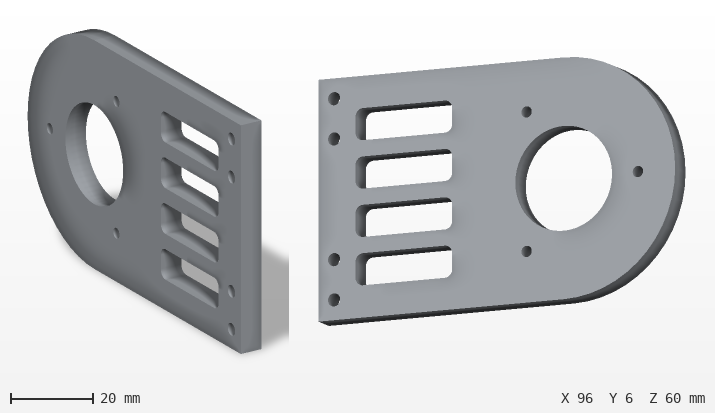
import cadquery as cq
import math

length = 96.0
width = 60.0
thickness = 6.0
end_radius = width / 2
straight_length = length - end_radius

bore_diameter = 26.0
bolt_circle_radius = 20.0
bolt_hole_diameter = 2.8
bolt_hole_count = 3

window_length = 26.0
window_height = 8.0
window_corner_radius = 2.0
window_pitch = 12.0
window_count = 4
window_end_margin = 10.0

mount_hole_diameter = 3.3
mount_end_margin = 4.2
mount_inner_offset = 15.0
mount_outer_offset = 25.0


def prism(sketch_plane):
    """Extrude a profile through the plate thickness, centered on Y = 0."""
    return sketch_plane.extrude(thickness / 2, both=True)


def plate():
    outline = (
        cq.Workplane("XZ")
        .moveTo(0, end_radius)
        .lineTo(straight_length, end_radius)
        .lineTo(straight_length, -end_radius)
        .lineTo(0, -end_radius)
        .threePointArc((-end_radius, 0), (0, end_radius))
        .close()
    )
    return prism(outline)


def holes(points, diameter):
    return prism(cq.Workplane("XZ").pushPoints(points).circle(diameter / 2))


def windows():
    center_x = straight_length - window_end_margin - window_length / 2
    centers = [
        (center_x, (i - (window_count - 1) / 2) * window_pitch)
        for i in range(window_count)
    ]
    blocks = prism(cq.Workplane("XZ").pushPoints(centers).rect(window_length, window_height))
    return blocks.edges("|Y").fillet(window_corner_radius)


bolt_angles = [math.pi + 2 * math.pi * i / bolt_hole_count for i in range(bolt_hole_count)]
bolt_points = [
    (bolt_circle_radius * math.cos(angle), bolt_circle_radius * math.sin(angle))
    for angle in bolt_angles
]

mount_x = straight_length - mount_end_margin
mount_points = [
    (mount_x, side * offset)
    for side in (-1, 1)
    for offset in (mount_inner_offset, mount_outer_offset)
]

result = (
    plate()
    .cut(holes([(0, 0)], bore_diameter))
    .cut(holes(bolt_points, bolt_hole_diameter))
    .cut(holes(mount_points, mount_hole_diameter))
    .cut(windows())
)